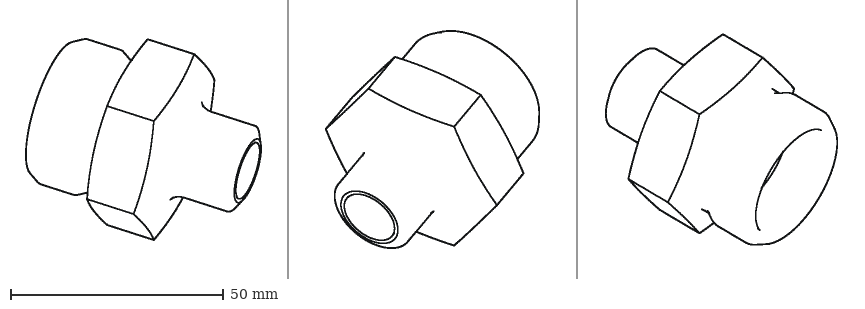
import cadquery as cq
import math

total_length = 50.0
hex_start = 18.0
hex_end = 32.0
hex_across_flats = 41.0
hex_chamfer_diameter = 40.0
hex_chamfer_angle = 15.0

collar_diameter = 36.0
groove_diameter = 32.9
collar_end = 11.2
collar_chamfer_angle = 30.0
groove_fillet = 1.2
collar_edge_fillet = 0.5
nose_edge_fillet = 0.25

weld_diameter = 21.3
weld_fillet = 5.0
weld_chamfer_length = 1.6
weld_chamfer_angle = 60.0
weld_edge_fillet = 0.2

through_diameter = 13.9
seat_diameter = 25.2
seat_depth = 12.0
cone_mouth_diameter = 28.0
cone_half_angle = 12.0
mouth_fillet = 0.5
inner_cone_diameter = 20.0
inner_cone_angle = 45.0
inner_cone_fillet = 0.2

edge_margin = 0.025


def tangent(degrees):
    return math.tan(math.radians(degrees))


def revolve_about_x(profile):
    """Turn a closed XY profile, Y being the radius, about the X axis."""
    return profile.close().revolve(360, (0, 0, 0), (1, 0, 0))


def fillet_circles(body, circles, fillet_radius):
    """Round the circular edges given as (x, radius) pairs."""
    for x, radius in circles:
        circle = cq.selectors.BoxSelector(
            (x - edge_margin, -radius - edge_margin, -radius - edge_margin),
            (x + edge_margin, radius + edge_margin, radius + edge_margin),
            boundingbox=True,
        )
        body = body.edges(circle).fillet(fillet_radius)
    return body


def quarter_arc_middle(center_x, center_y, radius, side):
    """Middle of a lower quarter arc; side is -1 for left and 1 for right of its center."""
    offset = radius * math.sqrt(0.5)
    return (center_x + side * offset, center_y - offset)


def turned_body():
    collar_radius = collar_diameter / 2
    groove_radius = groove_diameter / 2
    weld_radius = weld_diameter / 2
    chamfer_length = (collar_radius - groove_radius) / tangent(collar_chamfer_angle)
    groove_arc_x = hex_start - groove_fillet
    groove_arc_y = groove_radius + groove_fillet
    weld_arc_x = hex_end + weld_fillet
    weld_arc_y = weld_radius + weld_fillet
    tip_radius = weld_radius - weld_chamfer_length * tangent(weld_chamfer_angle)
    profile = (
        cq.Workplane("XY")
        .moveTo(0, 0)
        .lineTo(0, groove_radius)
        .lineTo(chamfer_length, collar_radius)
        .lineTo(collar_end, collar_radius)
        .lineTo(collar_end + chamfer_length, groove_radius)
        .lineTo(groove_arc_x, groove_radius)
        .threePointArc(
            quarter_arc_middle(groove_arc_x, groove_arc_y, groove_fillet, 1),
            (hex_start, groove_arc_y),
        )
        .lineTo(hex_end, weld_arc_y)
        .threePointArc(
            quarter_arc_middle(weld_arc_x, weld_arc_y, weld_fillet, -1),
            (weld_arc_x, weld_radius),
        )
        .lineTo(total_length - weld_chamfer_length, weld_radius)
        .lineTo(total_length, tip_radius)
        .lineTo(total_length, 0)
    )
    body = revolve_about_x(profile)
    collar_edges = [(chamfer_length, collar_radius), (collar_end, collar_radius)]
    body = fillet_circles(body, collar_edges, collar_edge_fillet)
    body = fillet_circles(body, [(collar_end + chamfer_length, groove_radius)], groove_fillet)
    body = fillet_circles(body, [(total_length - weld_chamfer_length, weld_radius)], weld_edge_fillet)
    return fillet_circles(body, [(0, groove_radius)], nose_edge_fillet)


def chamfered_hexagon():
    corner_radius = hex_across_flats / 2 / math.cos(math.radians(30))
    face_radius = hex_chamfer_diameter / 2
    chamfer_length = (corner_radius - face_radius) * tangent(hex_chamfer_angle)
    hexagon = (
        cq.Workplane("YZ", origin=(hex_start, 0, 0))
        .polygon(6, 2 * corner_radius)
        .extrude(hex_end - hex_start)
    )
    envelope = revolve_about_x(
        cq.Workplane("XY")
        .moveTo(hex_start, 0)
        .lineTo(hex_start, face_radius)
        .lineTo(hex_start + chamfer_length, corner_radius)
        .lineTo(hex_end - chamfer_length, corner_radius)
        .lineTo(hex_end, face_radius)
        .lineTo(hex_end, 0)
    )
    return hexagon.intersect(envelope)


def stepped_bore():
    seat_radius = seat_diameter / 2
    mouth_radius = cone_mouth_diameter / 2
    through_radius = through_diameter / 2
    inner_cone_radius = inner_cone_diameter / 2
    inner_cone_length = (inner_cone_radius - through_radius) / tangent(inner_cone_angle)
    inner_cone_end = seat_depth + inner_cone_length
    cone_length = (mouth_radius - seat_radius) / tangent(cone_half_angle)
    bore = revolve_about_x(
        cq.Workplane("XY")
        .moveTo(0, 0)
        .lineTo(0, mouth_radius)
        .lineTo(cone_length, seat_radius)
        .lineTo(seat_depth, seat_radius)
        .lineTo(seat_depth, inner_cone_radius)
        .lineTo(inner_cone_end, through_radius)
        .lineTo(total_length, through_radius)
        .lineTo(total_length, 0)
    )
    cone_circles = [(seat_depth, inner_cone_radius), (inner_cone_end, through_radius)]
    return fillet_circles(bore, cone_circles, inner_cone_fillet)


fitting = turned_body().union(chamfered_hexagon()).cut(stepped_bore())
result = fillet_circles(fitting, [(0, cone_mouth_diameter / 2)], mouth_fillet)